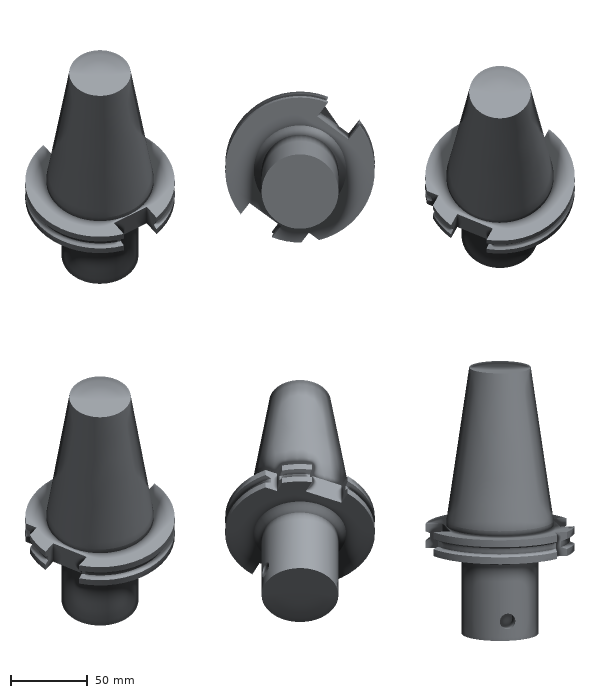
import cadquery as cq

total_height = 176.8
shank_diameter = 50.0
collar_diameter = 60.1
flange_diameter = 97.4
groove_diameter = 91.2
gauge_diameter = 69.8

gauge_height = 75.0
land_height = 3.2
flange_thickness = 15.9
flange_top = gauge_height - land_height
flange_bottom = flange_top - flange_thickness
collar_bottom = flange_bottom - (collar_diameter - shank_diameter) / 2

taper_ratio = 7 / 24
tip_diameter = gauge_diameter - taper_ratio * (total_height - gauge_height)

groove_mouth_width = 6.7
groove_floor_width = 3.9
groove_center = flange_bottom + flange_thickness / 2

slot_width = 25.6
left_slot_floor = 37.5
right_slot_floor = 35.5

notch_corner = 30.0

screw_diameter = 10.3
screw_height = 12.9
screw_depth = screw_diameter


def turned_body():
    """Solid of revolution: shank, collar, grooved flange, land and taper."""
    half_profile = [
        (0, 0),
        (shank_diameter / 2, 0),
        (shank_diameter / 2, collar_bottom),
        (collar_diameter / 2, flange_bottom),
        (flange_diameter / 2, flange_bottom),
        (flange_diameter / 2, groove_center - groove_mouth_width / 2),
        (groove_diameter / 2, groove_center - groove_floor_width / 2),
        (groove_diameter / 2, groove_center + groove_floor_width / 2),
        (flange_diameter / 2, groove_center + groove_mouth_width / 2),
        (flange_diameter / 2, flange_top),
        (gauge_diameter / 2, flange_top),
        (gauge_diameter / 2, gauge_height),
        (tip_diameter / 2, total_height),
        (0, total_height),
    ]
    return cq.Workplane("XZ").polyline(half_profile).close().revolve(360, (0, 0), (0, 1))


def drive_slot(side, floor_distance):
    """Cutter running outward from the slot floor; side is -1 for -X, +1 for +X."""
    length = flange_diameter / 2
    return (
        cq.Workplane("XY", origin=(side * (floor_distance + length / 2), 0, flange_bottom))
        .rect(length, slot_width)
        .extrude(flange_thickness)
    )


def orientation_notch():
    """Cutter for the square corner notch through the flange."""
    length = flange_diameter / 2
    center = notch_corner + length / 2
    return (
        cq.Workplane("XY", origin=(-center, center, flange_bottom))
        .rect(length, length)
        .extrude(flange_thickness)
    )


def screw_hole():
    """Cutter for the blind radial hole, running outward to the shank surface."""
    floor_y = shank_diameter / 2 - screw_depth
    return (
        cq.Workplane("XZ", origin=(0, floor_y, screw_height))
        .circle(screw_diameter / 2)
        .extrude(-screw_depth)
    )


result = (
    turned_body()
    .cut(drive_slot(-1, left_slot_floor))
    .cut(drive_slot(1, right_slot_floor))
    .cut(orientation_notch())
    .cut(screw_hole())
)